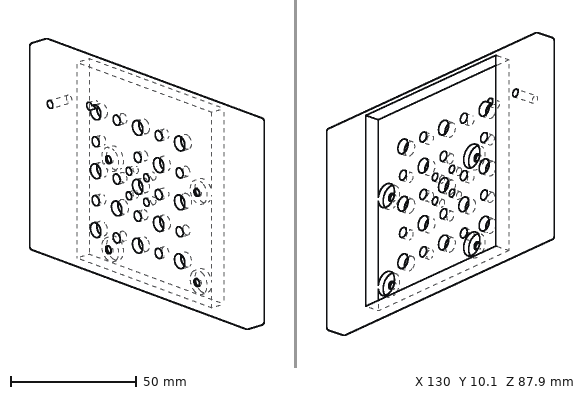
import cadquery as cq

length = 130.0
thickness = 10.1
height = 87.9
edge_radius = 1.4
front_y = -thickness / 2

pocket_length = 80.1
pocket_height = 83.0
floor_thickness = 3.5

grid_pitch = 12.5
large_diameter = 6.1
medium_diameter = 4.2
grid_steps = range(-2, 3)
empty_site = (-1, 1)

small_diameter = 3.2
center_offset = 5.2
notch_position = (-28.6, 26.6)
side_hole_position = (-52.0, 21.2)

mount_left = -17.4
mount_bottom = -31.3
mount_span_x = 52.5
mount_span_z = 38.2
counterbore_diameter = 10.0
counterbore_web = 0.9


def cylinders(points, diameter, start_y=front_y):
    """Cylinders at (x, z) points, running from start_y out through the back."""
    plane = cq.Workplane("XZ", origin=(0, start_y, 0))
    return plane.pushPoints(points).circle(diameter / 2).extrude(-thickness)


def grid_points(parity):
    """Occupied grid sites whose column and row add up to an even (0) or odd (1) number."""
    return [
        (column * grid_pitch, row * grid_pitch)
        for column in grid_steps
        for row in grid_steps
        if (column + row) % 2 == parity and (column, row) != empty_site
    ]


plate = cq.Workplane("XY").box(length, thickness, height).edges().fillet(edge_radius)

pocket = (
    cq.Workplane("XZ", origin=(0, front_y + floor_thickness, 0))
    .rect(pocket_length, pocket_height)
    .extrude(-thickness)
)

center_points = [(x, z) for x in (-center_offset, center_offset) for z in (-center_offset, center_offset)]
mount_points = [
    (x, z)
    for x in (mount_left, mount_left + mount_span_x)
    for z in (mount_bottom, mount_bottom + mount_span_z)
]
small_points = center_points + mount_points + [notch_position, side_hole_position]

result = (
    plate.cut(pocket)
    .cut(cylinders(grid_points(0), large_diameter))
    .cut(cylinders(grid_points(1), medium_diameter))
    .cut(cylinders(small_points, small_diameter))
    .cut(cylinders(mount_points, counterbore_diameter, front_y + counterbore_web))
)